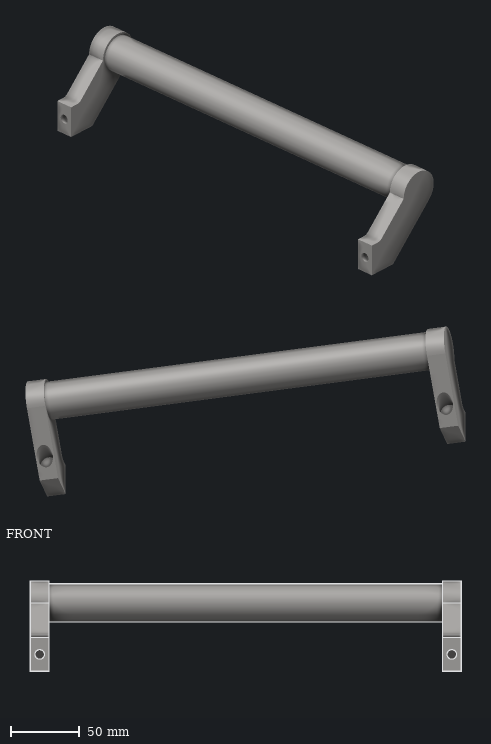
import cadquery as cq
import math

length = 314.0
bracket_thickness = 13.8
tube_diameter = 28.0
hub_radius = 16.0
reach = 66.0

foot_height = 24.8
foot_bend_radius = 6.3

screw_diameter = 7.0
screw_depth = 15.7
recess_diameter = 12.0
recess_floor_y = 23.5

tube_y = reach - hub_radius
tube_z = reach - hub_radius
screw_z = foot_height / 2
foot_length = hub_radius * math.sqrt(2)
hub_front_y = tube_y - hub_radius
bend_y = hub_front_y - (tube_z - foot_height)
tangent_offset = hub_radius / math.sqrt(2)


def x_cylinder(diameter, start_x, cylinder_length):
    """Cylinder on the tube axis, running toward +X."""
    plane = cq.Plane(origin=(start_x, tube_y, tube_z), xDir=(0, 0, 1), normal=(1, 0, 0))
    return cq.Workplane(plane).circle(diameter / 2).extrude(cylinder_length)


def y_cylinder(diameter, center_x, start_y, end_y):
    """Cylinder on the screw axis between two Y positions."""
    plane = cq.Plane(origin=(center_x, start_y, screw_z), xDir=(-1, 0, 0), normal=(0, 1, 0))
    return cq.Workplane(plane).circle(diameter / 2).extrude(end_y - start_y)


def make_bracket(start_x):
    """Angled end bracket with a bored hub and blind holes in both sides of the foot."""
    blank = (
        cq.Workplane("YZ", origin=(start_x, 0, 0))
        .moveTo(0, 0)
        .lineTo(foot_length, 0)
        .lineTo(tube_y + tangent_offset, tube_z - tangent_offset)
        .threePointArc((tube_y, tube_z + hub_radius), (hub_front_y, tube_z))
        .lineTo(bend_y, foot_height)
        .lineTo(0, foot_height)
        .close()
        .extrude(bracket_thickness)
    )
    bend_edge = cq.NearestToPointSelector((start_x + bracket_thickness / 2, bend_y, foot_height))
    blank = blank.edges(bend_edge).fillet(foot_bend_radius)

    center_x = start_x + bracket_thickness / 2
    tube_bore = x_cylinder(tube_diameter, start_x, bracket_thickness)
    screw_hole = y_cylinder(screw_diameter, center_x, 0, screw_depth)
    recess = y_cylinder(recess_diameter, center_x, recess_floor_y, reach)
    return blank.cut(tube_bore).cut(screw_hole).cut(recess)


tube = x_cylinder(tube_diameter, 0, length)

brackets = [make_bracket(start_x) for start_x in (0, length - bracket_thickness)]

result = cq.Compound.makeCompound([tube.val(), *[bracket.val() for bracket in brackets]])